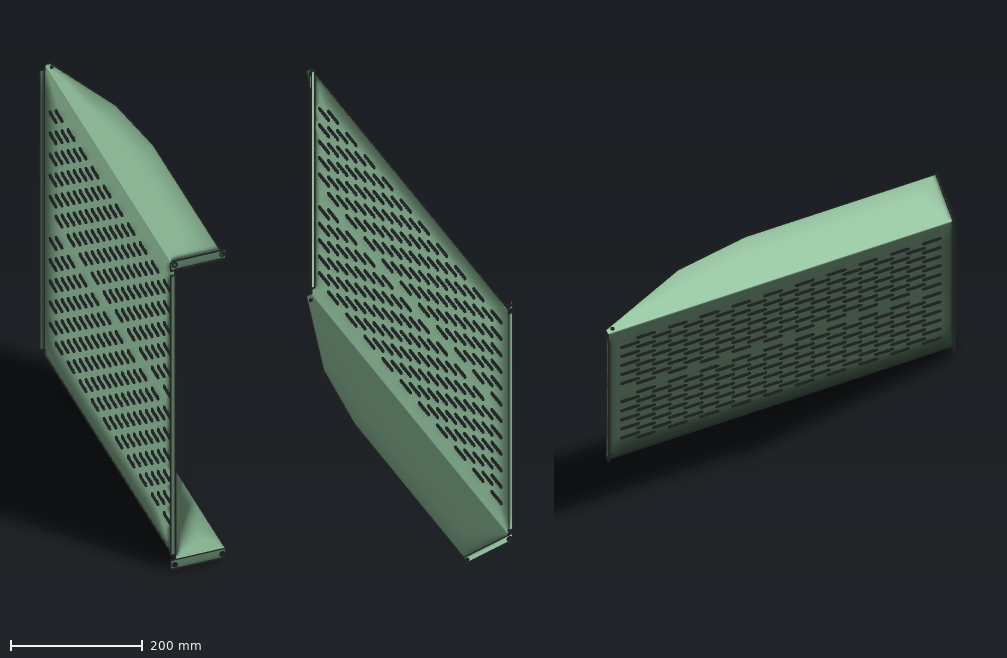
import cadquery as cq

length = 559.0
depth = 89.0
height = 584.0
sheet = 1.5
bend_radius = 2.0

lip_depth = 8.0
lip_half_height = 265.0
relief_depth = 3.0
front_y = -depth / 2
panel_back_y = front_y + lip_depth
panel_front_y = panel_back_y - sheet

side_outer_z = 276.0
side_inner_z = side_outer_z - sheet
bend_y = panel_front_y + bend_radius
bend_z = side_outer_z - bend_radius
left_x = -length / 2
right_x = length / 2
side_left_x = left_x + sheet
back_y = depth / 2
nose_y = -28.0
knee_x, knee_y = -142.5, 27.5
crest_x = -28.5
nose_radius = 2.0
nose_hole_x, nose_hole_y = -267.5, -30.0
nose_hole_diameter = 4.0

ear_corner_radius = 4.0
ear_hole_diameter = 7.5
ear_hole_drop = 7.5
ear_hole_spacing = 77.0
ear_hole_middle_y = 0.5

slot_length = 30.0
slot_width = 6.5
slot_pitch = 51.1
slots_per_row = 10
slot_middle_x = 0.9
row_pitch = 20.05
rows_per_half = 11


def box(x_range, y_range, z_range):
    """Solid block between the given limits."""
    (x0, x1), (y0, y1), (z0, z1) = x_range, y_range, z_range
    return cq.Workplane("XY").box(x1 - x0, y1 - y0, z1 - z0, centered=False).translate((x0, y0, z0))


def make_panel():
    """Flat panel with a forward lip along each end and relief notches beside the lips."""
    notched_left_x = left_x + relief_depth
    notched_right_x = right_x - relief_depth
    panel_y = (panel_front_y, panel_back_y)
    panel = box((notched_left_x, notched_right_x), panel_y, (-bend_z, bend_z))
    lip_z = (-lip_half_height, lip_half_height)
    panel = panel.union(box((left_x, right_x), panel_y, lip_z))
    for lip_x in (left_x, right_x - sheet):
        panel = panel.union(box((lip_x, lip_x + sheet), (front_y, panel_back_y), lip_z))
    return panel


def make_slots():
    """Staggered slot rows, mirrored about a plain strip at mid height."""
    half_stagger = slot_pitch / 4
    row_centre = (slots_per_row - 1) / 2
    centres = []
    for row in range(1, rows_per_half + 1):
        shift = half_stagger if row % 2 else -half_stagger
        for column in range(slots_per_row):
            x = (column - row_centre) * slot_pitch + shift + slot_middle_x
            centres += [(x, row * row_pitch), (x, -row * row_pitch)]
    return (
        cq.Workplane("XZ", origin=(0, panel_front_y, 0))
        .pushPoints(centres)
        .slot2D(slot_length, slot_width)
        .extrude(-sheet)
    )


def make_side():
    """Upper side plate with its tapered nose and nose hole."""
    plate = (
        cq.Workplane("XY", origin=(0, 0, side_inner_z))
        .moveTo(side_left_x, bend_y)
        .lineTo(right_x, bend_y)
        .lineTo(right_x, back_y)
        .lineTo(crest_x, back_y)
        .lineTo(knee_x, knee_y)
        .lineTo(side_left_x, nose_y)
        .close()
        .extrude(sheet)
    )
    nose_edge = cq.selectors.NearestToPointSelector((side_left_x, nose_y, side_outer_z - sheet / 2))
    plate = plate.edges(nose_edge).fillet(nose_radius)
    hole = (
        cq.Workplane("XY", origin=(nose_hole_x, nose_hole_y, side_inner_z))
        .circle(nose_hole_diameter / 2)
        .extrude(sheet)
    )
    return plate.cut(hole)


def make_bend():
    """Quarter-round bend joining the panel to the upper side plate."""
    bend_length = right_x - side_left_x
    ring = (
        cq.Workplane("YZ", origin=(side_left_x, bend_y, bend_z))
        .circle(bend_radius)
        .circle(bend_radius - sheet)
        .extrude(bend_length)
    )
    quarter = box((side_left_x, right_x), (panel_front_y, bend_y), (bend_z, side_outer_z))
    return ring.intersect(quarter)


def make_ear():
    """Upper mounting ear with two screw holes, turned out from the side plate."""
    top_z = height / 2
    ear = box((right_x - sheet, right_x), (front_y, back_y), (side_inner_z, top_z))
    ear = ear.edges("|X and >Z").fillet(ear_corner_radius)
    half_spacing = ear_hole_spacing / 2
    hole_ys = (ear_hole_middle_y - half_spacing, ear_hole_middle_y + half_spacing)
    holes = (
        cq.Workplane("YZ", origin=(right_x - sheet, 0, top_z - ear_hole_drop))
        .pushPoints([(y, 0) for y in hole_ys])
        .circle(ear_hole_diameter / 2)
        .extrude(sheet)
    )
    return ear.cut(holes)


upper_flange = make_side().union(make_bend()).union(make_ear())
lower_flange = upper_flange.mirror("XY")
result = make_panel().cut(make_slots()).union(upper_flange).union(lower_flange)